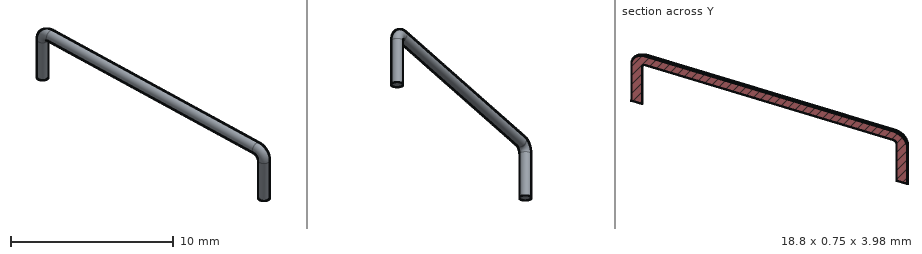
import cadquery as cq

span = 18.75
height = 3.98
wire_diameter = 0.75
bend_outer_radius = 1.0

wire_radius = wire_diameter / 2
bend_radius = bend_outer_radius - wire_radius
leg_x = span / 2 - wire_radius
bar_z = height - wire_radius
leg_top_z = bar_z - bend_radius
bar_end_x = leg_x - bend_radius

centreline = (
    cq.Workplane("XZ")
    .moveTo(-leg_x, 0)
    .lineTo(-leg_x, leg_top_z)
    .radiusArc((-bar_end_x, bar_z), bend_radius)
    .lineTo(bar_end_x, bar_z)
    .radiusArc((leg_x, leg_top_z), bend_radius)
    .lineTo(leg_x, 0)
)

result = cq.Workplane("XY").center(-leg_x, 0).circle(wire_radius).sweep(centreline)